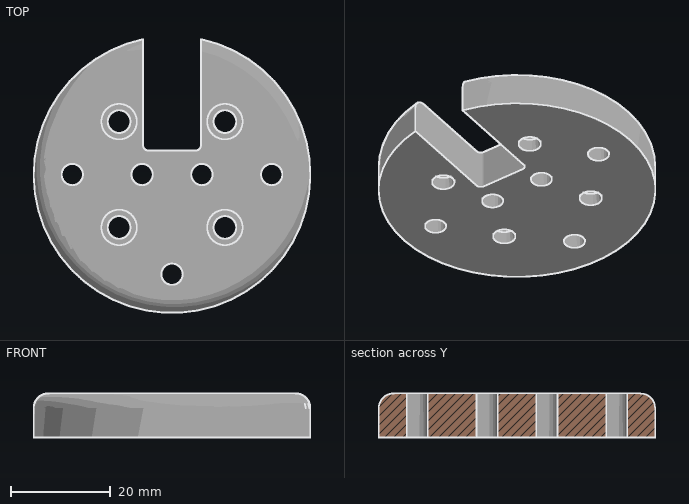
import cadquery as cq

disc_diameter = 55.45
disc_height = 8.9
rim_radius = 3.0

slot_width = 11.55
slot_floor_y = 4.8
slot_corner_radius = 1.0

plain_hole_diameter = 4.2
inner_hole_offset = 6.0
outer_hole_offset = 19.95

screw_hole_diameter = 4.5
counterbore_diameter = 7.1
counterbore_depth = 6.0
screw_spacing = 21.2


def rounded_disc():
    disc = cq.Workplane("XY").circle(disc_diameter / 2).extrude(disc_height)
    return disc.faces(">Z").edges().fillet(rim_radius)


def slot_cutter():
    length = disc_diameter / 2
    return (
        cq.Workplane("XY")
        .center(0, slot_floor_y + length / 2)
        .rect(slot_width, length)
        .extrude(disc_height)
        .edges("|Z and <Y")
        .fillet(slot_corner_radius)
    )


def drill_plain_holes(body):
    centers = [(0, -outer_hole_offset)]
    for offset in (inner_hole_offset, outer_hole_offset):
        centers += [(-offset, 0), (offset, 0)]
    return (
        body.faces(">Z")
        .workplane(origin=(0, 0, disc_height))
        .pushPoints(centers)
        .hole(plain_hole_diameter)
    )


def drill_screw_holes(body):
    return (
        body.faces(">Z")
        .workplane(origin=(0, 0, disc_height))
        .rarray(screw_spacing, screw_spacing, 2, 2)
        .cboreHole(screw_hole_diameter, counterbore_diameter, counterbore_depth)
    )


slotted_disc = rounded_disc().cut(slot_cutter())
result = drill_screw_holes(drill_plain_holes(slotted_disc))